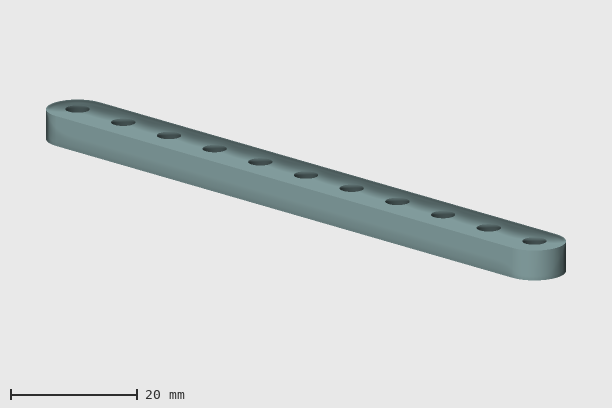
import cadquery as cq

length = 110.0
hole_count = 11
thickness = 5.0
hole_diameter = 3.8

pitch = length / hole_count
width = pitch

bar = cq.Workplane("XY").slot2D(length, width).extrude(thickness / 2, both=True)

result = (
    bar.faces(">Z")
    .workplane(origin=(0, 0, 0))
    .rarray(pitch, pitch, hole_count, 1)
    .hole(hole_diameter)
)